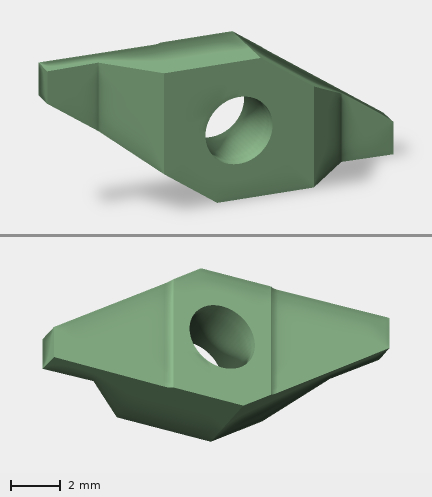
import cadquery as cq
import math

length = 15.0
thickness = 3.0
height = 6.0
tip_height = 1.41
slope_angle = 35.0
hole_diameter = 2.91
pad_half_length = 2.18
relief_half_length = 2.49
relief_depth = 0.1
tip_front_x = 0.05
tip_back_x = 1.04
tip_setback = 0.03
root_back_x = 0.98
block_half_length = 3.24

half_length = length / 2
half_height = height / 2
root_y = block_half_length + thickness - root_back_x


def make_profile():
    """Body seen along Z, symmetric about the Y = 0 plane."""
    run = relief_half_length - pad_half_length
    radius = (run**2 + relief_depth**2) / (2 * relief_depth)
    half_run = run / 2
    mid_x = relief_depth - radius + math.sqrt(radius**2 - half_run**2)
    mid_y = pad_half_length + half_run
    return (
        cq.Workplane("XY")
        .moveTo(0, -pad_half_length)
        .lineTo(0, pad_half_length)
        .threePointArc((mid_x, mid_y), (relief_depth, relief_half_length))
        .lineTo(tip_front_x, half_length - tip_setback)
        .lineTo(tip_back_x, half_length)
        .lineTo(root_back_x, root_y)
        .lineTo(thickness, block_half_length)
        .lineTo(thickness, -block_half_length)
        .lineTo(root_back_x, -root_y)
        .lineTo(tip_back_x, -half_length)
        .lineTo(tip_front_x, tip_setback - half_length)
        .lineTo(relief_depth, -relief_half_length)
        .threePointArc((mid_x, -mid_y), (0, -pad_half_length))
        .close()
        .extrude(half_height, both=True)
    )


def make_side_outline():
    """Six-sided outline seen along X, with arms pointing to opposite ends."""
    slope_run = (height - tip_height) / math.tan(math.radians(slope_angle))
    half_outline = [
        (half_length - slope_run, half_height),
        (half_length, half_height - (height - tip_height)),
        (half_length, -half_height),
    ]
    opposite = [(-y, -z) for y, z in half_outline]
    return (
        cq.Workplane("YZ")
        .polyline(half_outline + opposite)
        .close()
        .extrude(thickness)
    )


def make_hole():
    """Round hole through the whole thickness."""
    return cq.Workplane("YZ").circle(hole_diameter / 2).extrude(thickness)


result = make_profile().intersect(make_side_outline()).cut(make_hole())